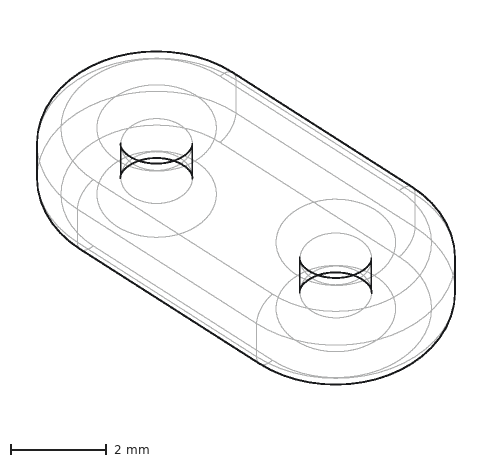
import cadquery as cq

length = 10
width = 5
thickness = 2
hole_diameter = 1.5
edge_radius = 0.5

hole_spacing = length - width


def rounded_plate():
    """Plate with semicircular ends and both outer rims rounded."""
    plate = cq.Workplane("XY").slot2D(length, width).extrude(thickness)
    return plate.faces("<Z or >Z").edges().fillet(edge_radius)


def flared_hole(x):
    """Cutter for a through hole whose two mouths flare out with a convex radius."""
    bore_radius = hole_diameter / 2
    mouth_radius = bore_radius + edge_radius
    profile = (
        cq.Workplane("XZ")
        .lineTo(mouth_radius, 0)
        .radiusArc((bore_radius, edge_radius), edge_radius)
        .lineTo(bore_radius, thickness - edge_radius)
        .radiusArc((mouth_radius, thickness), edge_radius)
        .lineTo(0, thickness)
        .close()
    )
    return profile.revolve(360, (0, 0), (0, 1)).translate((x, 0, 0))


result = rounded_plate()
for hole_x in (-hole_spacing / 2, hole_spacing / 2):
    result = result.cut(flared_hole(hole_x))